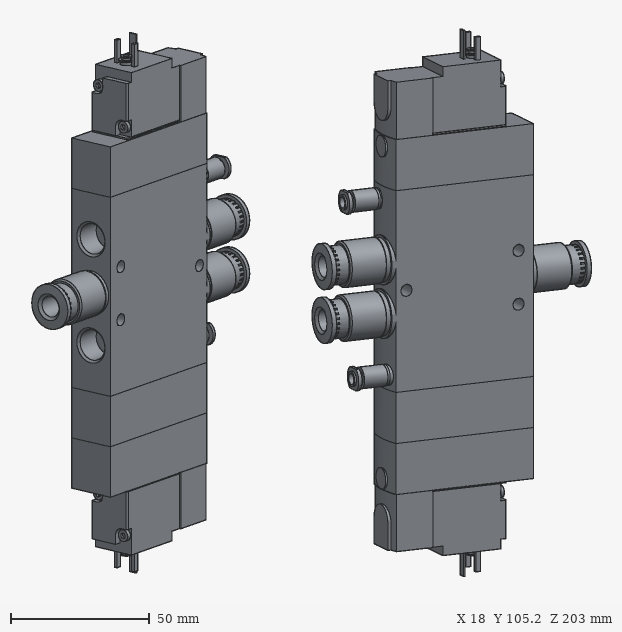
import cadquery as cq
import math


width = 18.0
half_width = width / 2
front_y = -28.5
back_edge_y = 26.7
crown_height = 1.2
end_cap_thickness = 19.0
valve_body_length = 75.0
stack_length = valve_body_length + 3 * end_cap_thickness
stack_top_z = stack_length / 2
valve_top_z = stack_top_z - end_cap_thickness
valve_bottom_z = valve_top_z - valve_body_length
valve_mid_z = (valve_top_z + valve_bottom_z) / 2

pad_face_y = 28.4
port_pad_diameter = 18.2
port_bore_diameter = 11.45
port_mouth_diameter = 13.16
port_depth = 10.0
port_spacing = 20.0
open_port_zs = [valve_mid_z + port_spacing, valve_mid_z - port_spacing]
rear_port_zs = [valve_mid_z + port_spacing / 2, valve_mid_z - port_spacing / 2]

pilot_port_x = 3.7
pilot_port_offset_z = 32.0
pilot_pad_diameter = 7.8
pilot_port_diameter = 5.0
pilot_port_depth = 6.0
pilot_ports = [
    (pilot_port_x, valve_mid_z + pilot_port_offset_z),
    (-pilot_port_x, valve_mid_z - pilot_port_offset_z),
]

mount_diameter = 4.4
mount_y = 22.5
mount_holes = [
    (mount_y, valve_mid_z),
    (-mount_y, valve_mid_z + port_spacing / 2),
    (-mount_y, valve_mid_z - port_spacing / 2),
]

fitting_length = 24.15
fitting_base_diameter = 16.4
fitting_base_length = 1.8
fitting_sleeve_diameter = 17.0
fitting_sleeve_end = 16.2
fitting_sleeve_chamfer = 0.6
fitting_neck_diameter = 14.3
fitting_ring_diameter = 16.8
fitting_ring_start = 21.8
fitting_ring_end = 23.6
fitting_slot_count = 24
fitting_slot_length = 1.8
fitting_slot_width = 0.6
fitting_slot_depth = 0.5
tube_mouth_diameter = 10.0
tube_bore_diameter = 7.8
tube_mouth_depth = 1.0
tube_bore_depth = 18.0

pilot_fitting_length = 13.7
pilot_base_diameter = 7.8
pilot_base_length = 0.9
pilot_sleeve_diameter = 8.0
pilot_sleeve_end = 10.3
pilot_neck_diameter = 5.6
pilot_ring_start = 11.7
pilot_ring_end = 13.0
pilot_ring_diameter = 9.4
pilot_ring_height = 8.0
pilot_tip_diameter = 5.6
pilot_bore_diameter = 4.13
pilot_bore_depth = 10.0

head_width = 17.8
head_back_edge_y = 26.4
head_top_z = 87.3
coil_back_y = 11.9
coil_front_y = -18.1
coil_width = 16.8
coil_gap = 0.6
coil_foot_inset = 0.3
coil_bottom_z = stack_top_z + coil_gap
coil_edge_chamfer = 0.6
raised_back_y = 7.6
raised_front_y = -15.7
raised_top_z = 90.9

label_face_y = pad_face_y
label_width = 11.4
label_bottom_z = 71.4
plug_diameter = 8.0
plug_z = 61.8

screw_x = 5.8
screw_offset_z = 6.75
screw_pocket_diameter = 5.6
screw_head_diameter = 4.4
screw_head_height = 1.6
screw_socket_diameter = 2.01
screw_socket_depth = 1.0

connector_y = -8.4
grommet_base_diameter = 4.4
grommet_flange_diameter = 5.6
grommet_flange_bottom = 1.3
grommet_flange_top = 1.8
grommet_stem_diameter = 3.4
grommet_lip_diameter = 4.13
grommet_lip_bottom = 2.7
grommet_height = 3.1
grommet_hole_diameter = 2.0
side_blade_x = 4.05
side_blade_thickness = 1.3
side_blade_depth = 2.0
side_blade_top_z = 99.4
ground_blade_y = -4.4
ground_blade_width = 3.0
ground_blade_thickness = 0.6
ground_blade_top_z = 101.5


def box(x0, x1, y0, y1, z0, z1):
    """Box between two opposite corners."""
    return cq.Workplane("XY").box(x1 - x0, y1 - y0, z1 - z0, centered=False).translate((x0, y0, z0))


def rod_y(x, z, diameter, y0, y1):
    """Cylinder along Y from y0 up to y1."""
    plane = cq.Plane(origin=(x, y0, z), xDir=(1, 0, 0), normal=(0, 1, 0))
    return cq.Workplane(plane).circle(diameter / 2).extrude(y1 - y0)


def crowned_block(block_width, front, back_edge, z0, z1):
    """Block whose back face is a shallow arc across X."""
    half = block_width / 2
    return (
        cq.Workplane("XY")
        .workplane(offset=z0)
        .moveTo(-half, front)
        .lineTo(half, front)
        .lineTo(half, back_edge)
        .threePointArc((0, back_edge + crown_height), (-half, back_edge))
        .close()
        .extrude(z1 - z0)
    )


def stack_block(z0, z1):
    """Block with the common cross-section of the stack."""
    return crowned_block(width, front_y, back_edge_y, z0, z1)


def make_valve_body():
    """Centre block with the ports, their pads and the cross holes."""
    body = stack_block(valve_bottom_z, valve_top_z)
    envelope = box(-half_width, half_width, front_y, pad_face_y, valve_bottom_z, valve_top_z)

    for z in rear_port_zs:
        body = body.union(rod_y(0, z, port_pad_diameter, back_edge_y, pad_face_y).intersect(envelope))
    for x, z in pilot_ports:
        body = body.union(rod_y(x, z, pilot_pad_diameter, back_edge_y, pad_face_y))

    for z in rear_port_zs:
        body = body.cut(rod_y(0, z, port_bore_diameter, pad_face_y - port_depth, pad_face_y))
    for x, z in pilot_ports:
        body = body.cut(rod_y(x, z, pilot_port_diameter, pad_face_y - pilot_port_depth, pad_face_y))
    body = body.cut(rod_y(0, valve_mid_z, port_bore_diameter, front_y, front_y + port_depth))

    mouth_chamfer = (port_mouth_diameter - port_bore_diameter) / 2
    for z in open_port_zs:
        body = body.cut(rod_y(0, z, port_bore_diameter, front_y, front_y + port_depth))
        cone = cq.Solid.makeCone(
            port_mouth_diameter / 2,
            port_bore_diameter / 2,
            mouth_chamfer,
            pnt=cq.Vector(0, front_y, z),
            dir=cq.Vector(0, 1, 0),
        )
        body = body.cut(cq.Workplane(cone))

    for y, z in mount_holes:
        hole = cq.Workplane("YZ").center(y, z).circle(mount_diameter / 2).extrude(half_width, both=True)
        body = body.cut(hole)
    return body


def make_spacer():
    """Plain block between the valve body and the lower end cap."""
    return stack_block(valve_bottom_z - end_cap_thickness, valve_bottom_z)


def screw_pocket(side, z, z_open):
    """Round-cornered pocket at a coil corner, open to the side and to the edge at z_open."""
    radius = screw_pocket_diameter / 2
    x = side * screw_x
    inner_x = x - side * radius
    closed_z = z - math.copysign(radius, z_open - z)
    x0, x1 = sorted((x, side * half_width))
    z0, z1 = sorted((closed_z, z_open))
    side_part = box(x0, x1, coil_front_y, raised_front_y, z0, z1)
    x0, x1 = sorted((inner_x, side * half_width))
    z0, z1 = sorted((z, z_open))
    edge_part = box(x0, x1, coil_front_y, raised_front_y, z0, z1)
    return rod_y(x, z, screw_pocket_diameter, coil_front_y, raised_front_y).union(side_part).union(edge_part)


def make_coil():
    """Coil housing with a raised top and two corner screws."""
    half_coil = coil_width / 2
    coil = box(-half_coil, half_coil, coil_front_y, coil_back_y, coil_bottom_z, head_top_z)
    coil = coil.edges("|Z and <Y").chamfer(coil_edge_chamfer)
    coil = coil.union(
        box(-half_coil, half_coil, raised_front_y, raised_back_y, coil_bottom_z, raised_top_z)
    )
    half_foot = half_coil - coil_foot_inset
    foot_front_y = coil_front_y + coil_foot_inset
    coil = coil.union(box(-half_foot, half_foot, foot_front_y, coil_back_y, stack_top_z, coil_bottom_z))

    coil_mid_z = (coil_bottom_z + head_top_z) / 2
    corners = [
        (-1, coil_mid_z + screw_offset_z, head_top_z),
        (1, coil_mid_z - screw_offset_z, coil_bottom_z),
    ]
    for side, z, z_open in corners:
        x = side * screw_x
        head_y = raised_front_y - screw_head_height
        coil = coil.cut(screw_pocket(side, z, z_open))
        coil = coil.union(rod_y(x, z, screw_head_diameter, head_y, raised_front_y))
        coil = coil.cut(rod_y(x, z, screw_socket_diameter, head_y, head_y + screw_socket_depth))
    return coil


def make_connector():
    """Stepped hollow grommet, two side blades and a ground blade on top of the coil."""
    steps = [
        (grommet_base_diameter, 0, grommet_flange_bottom),
        (grommet_flange_diameter, grommet_flange_bottom, grommet_flange_top),
        (grommet_stem_diameter, grommet_flange_top, grommet_lip_bottom),
        (grommet_lip_diameter, grommet_lip_bottom, grommet_height),
    ]
    base = cq.Workplane("XY").workplane(offset=raised_top_z).center(0, connector_y)
    connector = cq.Workplane("XY")
    for diameter, bottom, top in steps:
        connector = connector.add(base.workplane(offset=bottom).circle(diameter / 2).extrude(top - bottom))
    connector = connector.combine()
    connector = connector.cut(base.circle(grommet_hole_diameter / 2).extrude(grommet_height))
    for side in (-1, 1):
        connector = connector.union(
            box(
                side * side_blade_x - side_blade_thickness / 2,
                side * side_blade_x + side_blade_thickness / 2,
                connector_y - side_blade_depth / 2,
                connector_y + side_blade_depth / 2,
                raised_top_z,
                side_blade_top_z,
            )
        )
    ground_blade = box(
        -ground_blade_width / 2,
        ground_blade_width / 2,
        ground_blade_y - ground_blade_thickness / 2,
        ground_blade_y + ground_blade_thickness / 2,
        raised_top_z,
        ground_blade_top_z,
    )
    return connector.union(ground_blade)


def make_end_unit():
    """Upper end cap with its pilot head, coil and connector."""
    unit = stack_block(valve_top_z, stack_top_z)
    unit = unit.union(crowned_block(head_width, coil_back_y, head_back_edge_y, stack_top_z, head_top_z))

    pad_round_z = label_bottom_z + label_width / 2
    label_pad = box(-label_width / 2, label_width / 2, coil_back_y, label_face_y, pad_round_z, head_top_z)
    label_pad = label_pad.union(rod_y(0, pad_round_z, label_width, coil_back_y, label_face_y))
    plug = rod_y(0, plug_z, plug_diameter, coil_back_y, label_face_y)
    return unit.union(label_pad).union(plug).union(make_coil()).union(make_connector())


def revolve_about_y(points):
    """Solid of revolution about Y from (radius, y) points."""
    return cq.Workplane("XY").polyline(points).close().revolve(360, (0, 0, 0), (0, 1, 0))


def make_port_fitting():
    """Large push-in fitting along +Y, seated at y = 0 with its stub below."""
    profile = [
        (0, -port_depth),
        (port_bore_diameter / 2, -port_depth),
        (port_bore_diameter / 2, 0),
        (fitting_base_diameter / 2, 0),
        (fitting_base_diameter / 2, fitting_base_length),
        (fitting_sleeve_diameter / 2, fitting_base_length),
        (fitting_sleeve_diameter / 2, fitting_sleeve_end - fitting_sleeve_chamfer),
        (fitting_sleeve_diameter / 2 - fitting_sleeve_chamfer, fitting_sleeve_end),
        (fitting_neck_diameter / 2, fitting_sleeve_end),
        (fitting_neck_diameter / 2, fitting_ring_start),
        (fitting_ring_diameter / 2, fitting_ring_start),
        (fitting_ring_diameter / 2, fitting_ring_end),
        (tube_mouth_diameter / 2, fitting_length),
        (tube_bore_diameter / 2, fitting_length - tube_mouth_depth),
        (tube_bore_diameter / 2, fitting_length - tube_bore_depth),
        (0, fitting_length - tube_bore_depth),
    ]
    fitting = revolve_about_y(profile)

    neck_radius = fitting_neck_diameter / 2
    slot = box(
        neck_radius - fitting_slot_depth,
        fitting_ring_diameter / 2,
        fitting_ring_start - fitting_slot_length,
        fitting_ring_start,
        -fitting_slot_width / 2,
        fitting_slot_width / 2,
    )
    for index in range(fitting_slot_count):
        fitting = fitting.cut(slot.rotate((0, 0, 0), (0, 1, 0), index * 360 / fitting_slot_count))
    return fitting


def make_pilot_fitting():
    """Small push-in fitting along +Y, with its release ring flattened above and below."""
    profile = [
        (0, -pilot_port_depth),
        (pilot_port_diameter / 2, -pilot_port_depth),
        (pilot_port_diameter / 2, 0),
        (pilot_base_diameter / 2, 0),
        (pilot_base_diameter / 2, pilot_base_length),
        (pilot_sleeve_diameter / 2, pilot_base_length),
        (pilot_sleeve_diameter / 2, pilot_sleeve_end),
        (pilot_neck_diameter / 2, pilot_sleeve_end),
        (pilot_neck_diameter / 2, pilot_ring_start),
        (pilot_ring_diameter / 2, pilot_ring_start),
        (pilot_ring_diameter / 2, pilot_ring_end),
        (pilot_tip_diameter / 2, pilot_ring_end),
        (pilot_tip_diameter / 2, pilot_fitting_length),
        (pilot_bore_diameter / 2, pilot_fitting_length),
        (pilot_bore_diameter / 2, pilot_fitting_length - pilot_bore_depth),
        (0, pilot_fitting_length - pilot_bore_depth),
    ]
    half_ring = pilot_ring_diameter / 2
    half_height = pilot_ring_height / 2
    slab = box(-half_ring, half_ring, -pilot_port_depth, pilot_fitting_length, -half_height, half_height)
    return revolve_about_y(profile).intersect(slab)


valve_body = make_valve_body()
spacer = make_spacer()

upper_end_unit = make_end_unit()
lower_end_unit = upper_end_unit.rotate((0, 0, 0), (0, 1, 0), 180)

port_fittings = [make_port_fitting().translate((0, pad_face_y, z)) for z in rear_port_zs]
front_fitting = make_port_fitting().rotate((0, 0, 0), (0, 0, 1), 180)
port_fittings.append(front_fitting.translate((0, front_y, valve_mid_z)))

pilot_fittings = [make_pilot_fitting().translate((x, pad_face_y, z)) for x, z in pilot_ports]

bodies = [valve_body, spacer, upper_end_unit, lower_end_unit, *port_fittings, *pilot_fittings]
result = cq.Compound.makeCompound([body.solids().val() for body in bodies])